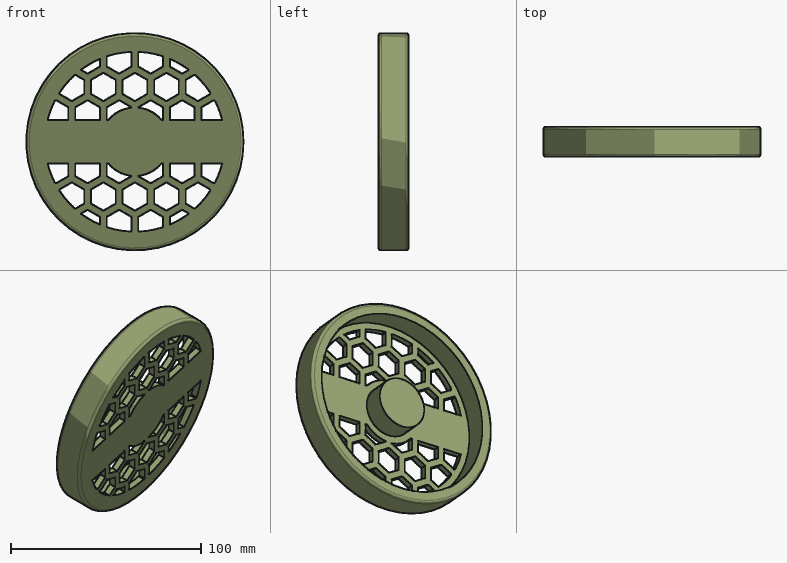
import cadquery as cq
import math

OUTER_RADIUS = 57.2
RIM_DEPTH = 15.9
EDGE_FILLET = 1.5
FRONT_Y = -RIM_DEPTH / 2

PLATE_THICKNESS = 3.5
CAVITY_RADIUS = 51.0
CAVITY_DEPTH = RIM_DEPTH - PLATE_THICKNESS
BOSS_RADIUS = 14.1

HEX_ACROSS_FLATS = 12.8
HEX_PITCH = 16.6
HEX_ROW_PITCH = 14.4
HEX_SIDES = 6
GRILLE_RADIUS = 47.2
HUB_RADIUS = 18.1
BAND_HALF_HEIGHT = 11.5


def cylinder(radius, start_depth, length):
    """Cylinder along Y, its near end start_depth behind the front face."""
    return (
        cq.Workplane("XZ", origin=(0, FRONT_Y + start_depth, 0))
        .circle(radius)
        .extrude(-length)
    )


def hexagon_centres():
    """(x, z) centres of staggered hexagons covering the grille; odd rows shift by half a pitch."""
    last_row = math.ceil(GRILLE_RADIUS / HEX_ROW_PITCH)
    last_column = math.ceil(GRILLE_RADIUS / HEX_PITCH)
    centres = []
    for row in range(-last_row, last_row + 1):
        shift = HEX_PITCH / 2 * (row % 2)
        for column in range(-last_column, last_column + 1):
            centres.append((column * HEX_PITCH + shift, row * HEX_ROW_PITCH))
    return centres


def hexagon_outline(x, z):
    """Corners of a hexagon centred at (x, z), with corners pointing up and down."""
    half_step = math.pi / HEX_SIDES
    corner_radius = HEX_ACROSS_FLATS / 2 / math.cos(half_step)
    angles = [half_step * (2 * corner + 1) for corner in range(HEX_SIDES)]
    return [(x + corner_radius * math.cos(a), z + corner_radius * math.sin(a)) for a in angles]


def grille_openings():
    """Hexagonal prisms through the plate, trimmed by the grille ring and the middle band."""
    hexagons = cq.Workplane("XZ", origin=(0, FRONT_Y, 0))
    for x, z in hexagon_centres():
        hexagons = hexagons.polyline(hexagon_outline(x, z)).close()
    hexagons = hexagons.extrude(-PLATE_THICKNESS)

    hub = cylinder(HUB_RADIUS, 0, PLATE_THICKNESS)
    ring = cylinder(GRILLE_RADIUS, 0, PLATE_THICKNESS).cut(hub)
    band = cq.Workplane("XY").box(2 * OUTER_RADIUS, RIM_DEPTH, 2 * BAND_HALF_HEIGHT)
    return hexagons.intersect(ring).cut(band)


def cap_body():
    """Disc with rounded rims, hollowed from the back around the central boss."""
    disc = cylinder(OUTER_RADIUS, 0, RIM_DEPTH).faces("<Y or >Y").edges().fillet(EDGE_FILLET)
    boss = cylinder(BOSS_RADIUS, PLATE_THICKNESS, CAVITY_DEPTH)
    cavity = cylinder(CAVITY_RADIUS, PLATE_THICKNESS, CAVITY_DEPTH).cut(boss)
    return disc.cut(cavity)


result = cap_body().cut(grille_openings())